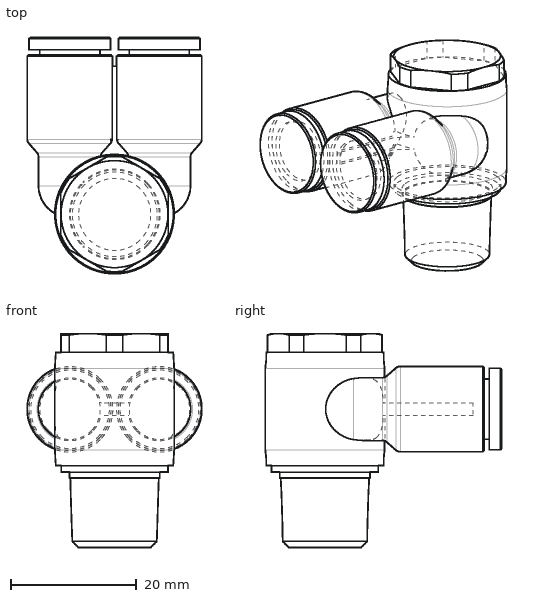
import cadquery as cq
import math

lead_in = 1.0
thread_top = 11.0
collar_top = 12.0
body_bottom = 13.0
body_top = 31.0
total_height = 34.0
body_taper_height = 2.5

body_radius = 9.5
body_end_radius = 9.35
washer_radius = 8.5
collar_radius = 7.2
collar_chamfer = 0.1
thread_top_radius = 7.05
thread_taper = 1 / 32

hex_across_flats = 17.0
hex_corner_radius = 9.15
hex_bevel_drop = 0.25

port_offset = 7.1
port_height = (body_bottom + body_top) / 2
port_end = 28.1
release_ring_length = 2.0
release_ring_radius = 6.5
neck_length = 0.8
neck_radius = 4.8
sleeve_radius = 6.8
edge_chamfer = 0.25
shoulder_start = 9.5
shoulder_end = 11.55
shoulder_blend = 1.0
stem_radius = 5.0
stem_start = 4.5

web_end = 23.5
web_thickness = 2.0


def make_body():
    """Chamfered taper thread blank, collar, washer and body with tapered ends."""
    thread_bottom_radius = thread_top_radius - thread_taper * (thread_top - lead_in)
    profile = (
        cq.Workplane("XZ")
        .lineTo(thread_bottom_radius - lead_in, 0)
        .lineTo(thread_bottom_radius, lead_in)
        .lineTo(thread_top_radius, thread_top)
        .lineTo(collar_radius - collar_chamfer, thread_top)
        .lineTo(collar_radius, thread_top + collar_chamfer)
        .lineTo(collar_radius, collar_top)
        .lineTo(washer_radius, collar_top)
        .lineTo(washer_radius, body_bottom)
        .lineTo(body_end_radius, body_bottom)
        .lineTo(body_radius, body_bottom + body_taper_height)
        .lineTo(body_radius, body_top - body_taper_height)
        .lineTo(body_end_radius, body_top)
        .lineTo(0, body_top)
        .close()
    )
    return profile.revolve(360, (0, 0), (0, 1))


def make_hex_head():
    """Hexagon with flats facing +X and -X, its corners turned down and bevelled on top."""
    half_side_angle = 30
    across_corners = hex_across_flats / math.cos(math.radians(half_side_angle))
    head_height = total_height - body_top
    prism = (
        cq.Workplane("XY", origin=(0, 0, body_top))
        .transformed(rotate=(0, 0, half_side_angle))
        .polygon(6, across_corners)
        .extrude(head_height)
    )
    envelope = (
        cq.Workplane("XZ", origin=(0, 0, body_top))
        .lineTo(hex_corner_radius, 0)
        .lineTo(hex_corner_radius, head_height - hex_bevel_drop)
        .lineTo(hex_across_flats / 2, head_height)
        .lineTo(0, head_height)
        .close()
        .revolve(360, (0, 0), (0, 1))
    )
    return prism.intersect(envelope)


def make_port(x):
    """One port: ball-ended stem, conical shoulder, sleeve, neck and release ring."""
    ring_start = port_end - release_ring_length
    sleeve_end = ring_start - neck_length

    slope = math.atan2(sleeve_radius - stem_radius, shoulder_end - shoulder_start)
    tangent = shoulder_blend * math.tan(slope / 2)
    along = tangent * math.cos(slope)
    across = tangent * math.sin(slope)
    stem_blend_start = (stem_radius, shoulder_start - tangent)
    stem_blend_end = (stem_radius + across, shoulder_start + along)
    sleeve_blend_start = (sleeve_radius - across, shoulder_end - along)
    sleeve_blend_end = (sleeve_radius, shoulder_end + tangent)
    diagonal = stem_radius * math.sqrt(0.5)

    profile = (
        cq.Workplane("XY")
        .moveTo(0, stem_start - stem_radius)
        .threePointArc((diagonal, stem_start - diagonal), (stem_radius, stem_start))
        .lineTo(*stem_blend_start)
        .tangentArcPoint(stem_blend_end, relative=False)
        .lineTo(*sleeve_blend_start)
        .tangentArcPoint(sleeve_blend_end, relative=False)
        .lineTo(sleeve_radius, sleeve_end - edge_chamfer)
        .lineTo(sleeve_radius - edge_chamfer, sleeve_end)
        .lineTo(neck_radius, sleeve_end)
        .lineTo(neck_radius, ring_start)
        .lineTo(release_ring_radius, ring_start)
        .lineTo(release_ring_radius, port_end - edge_chamfer)
        .lineTo(release_ring_radius - edge_chamfer, port_end)
        .lineTo(0, port_end)
        .close()
    )
    return profile.revolve(360, (0, 0), (0, 1)).translate((x, 0, port_height))


def make_web():
    """Flat plate at port height filling the gap between the two ports."""
    return (
        cq.Workplane("XY", origin=(0, 0, port_height))
        .box(2 * port_offset, web_end, web_thickness, centered=(True, False, True))
    )


result = make_body().union(make_hex_head()).union(make_web())
for side in (-1, 1):
    result = result.union(make_port(side * port_offset))